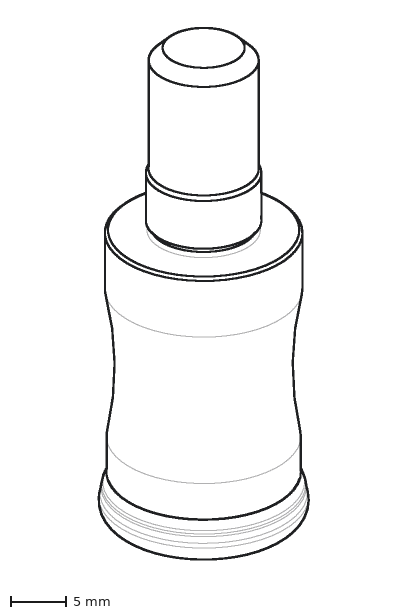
import cadquery as cq

total_height = 49.0
seam_height = 4.85
waist_bottom = 8.65
waist_middle = 15.7
waist_top = 23.95
shoulder_height = 30.1
collar_bottom = 31.05
collar_top = 36.45

grip_radius = 8.8
seam_chamfer = 0.1
seam_radius = grip_radius - seam_chamfer
waist_radius = 8.1
head_radius = 8.95
head_chamfer = 0.3
stud_radius = 5.0
stud_tip_chamfer = 1.25
collar_radius = 5.25
collar_chamfer = collar_radius - stud_radius
collar_lead_in = 0.45
undercut_radius = 4.8
undercut_fillet = 0.35
undercut_root_height = 0.05

cap_flat_radius = 5.95
cap_underside_edge = (8.15, 0.45)
cap_rim_bottom = (8.65, 0.7)
cap_rim_middle = (9.3, 1.25)
cap_rim_top = (9.5, 2.35)
cap_flank_lower = (9.4, 2.8)
cap_flank_upper = (9.3, 3.45)
cap_shoulder_bottom = (9.25, 3.68)
cap_shoulder_top = (9.15, 3.95)


def revolve(profile):
    """Turn a closed radius/height outline once around the Z axis."""
    return profile.close().revolve(360, (0, 0, 0), (0, 1, 0))


def make_body():
    """Waisted grip and collared stud, turned in one piece."""
    outline = (
        cq.Workplane("XZ")
        .moveTo(0, seam_height)
        .lineTo(seam_radius, seam_height)
        .lineTo(grip_radius, seam_height + seam_chamfer)
        .lineTo(grip_radius, waist_bottom)
        .threePointArc((waist_radius, waist_middle), (head_radius, waist_top))
        .lineTo(head_radius, shoulder_height - head_chamfer)
        .lineTo(head_radius - head_chamfer, shoulder_height)
        .lineTo(undercut_radius + undercut_fillet, shoulder_height)
        .radiusArc((undercut_radius, shoulder_height + undercut_fillet), undercut_fillet)
        .lineTo(undercut_radius, shoulder_height + undercut_fillet + undercut_root_height)
        .lineTo(stud_radius, collar_bottom - collar_chamfer)
        .lineTo(collar_radius, collar_bottom)
        .lineTo(collar_radius, collar_top - collar_lead_in)
        .lineTo(stud_radius, collar_top)
        .lineTo(stud_radius, total_height - stud_tip_chamfer)
        .lineTo(stud_radius - stud_tip_chamfer, total_height)
        .lineTo(0, total_height)
    )
    return revolve(outline)


def make_foot_cap():
    """Rounded cap that sits flat against the bottom of the body."""
    outline = (
        cq.Workplane("XZ")
        .lineTo(cap_flat_radius, 0)
        .lineTo(*cap_underside_edge)
        .lineTo(*cap_rim_bottom)
        .threePointArc(cap_rim_middle, cap_rim_top)
        .lineTo(*cap_flank_lower)
        .lineTo(*cap_flank_upper)
        .lineTo(*cap_shoulder_bottom)
        .lineTo(*cap_shoulder_top)
        .lineTo(seam_radius, seam_height)
        .lineTo(0, seam_height)
    )
    return revolve(outline)


body = make_body()
foot_cap = make_foot_cap()

result = cq.Compound.makeCompound([body.val(), foot_cap.val()])